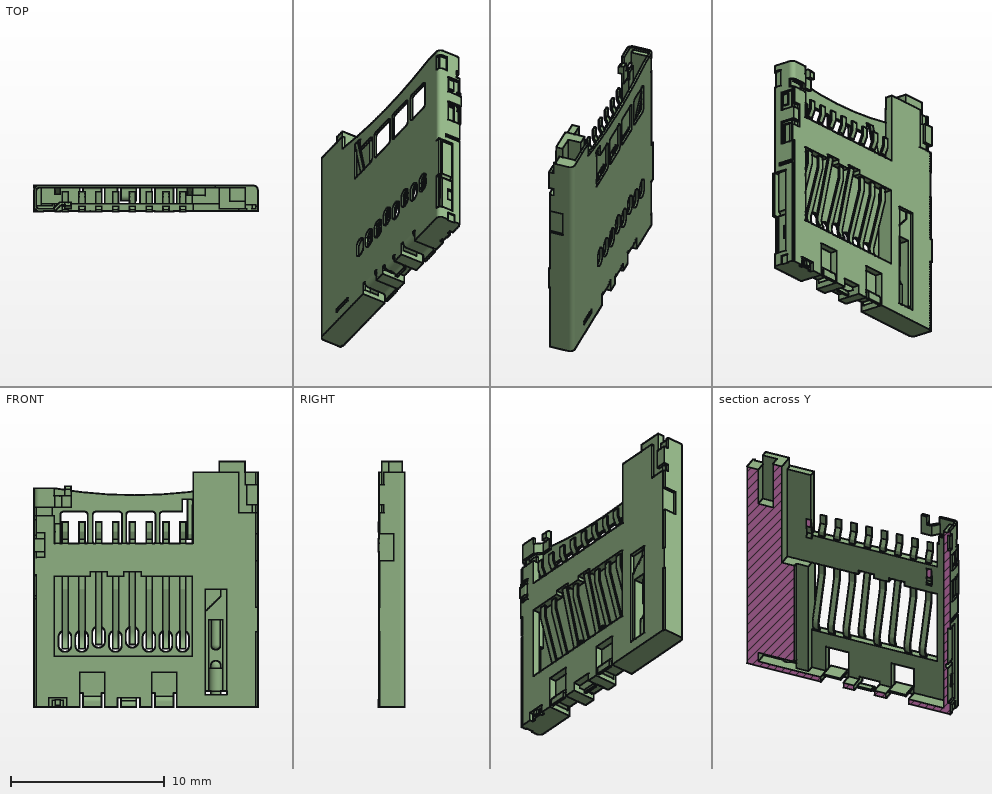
import cadquery as cq
import math

WIDTH = 14.6
DEPTH = 1.68
SOLDER_STANDOFF = 0.05
SHEET = 0.16
LEFT_TOP = 14.25
RIGHT_TOP = 15.3
SLIDER_TOP = 16.0

SHELL_BEND = 0.32
SHELL_INNER_Y = DEPTH - SHEET
SHELL_INNER_RIGHT = WIDTH - SHEET
WALL_SETBACK = 0.06
LIP_BOTTOM = 13.0
RIGHT_LIP_LEFT = 13.85
RIGHT_LIP_BOTTOM = 13.17
RIGHT_LIP_TOP = 14.48
MOUTH_MIDDLE_X = 6.56
MOUTH_LOW_Z = 13.8

PLATE = 0.5
SIDE_WALL = 0.32
FLOOR = 0.4
WINDOW_LEFT = 1.31
WINDOW_RIGHT = 10.3
CROSSBAR_BOTTOM = 8.53
CROSSBAR_TOP = 10.65
WINDOW_BOTTOM = 3.31
DIVIDER_DEPTH = 1.02
TOWER_LEFT = 10.37
TOWER_RIGHT = 13.33
TOWER_SHOULDER = 12.64
LEFT_PLATE_TOP = 12.45

CONTACT_COUNT = 8
FIRST_CONTACT_X = 2.03
LAST_CONTACT_X = 9.7
CONTACT_PITCH = (LAST_CONTACT_X - FIRST_CONTACT_X) / (CONTACT_COUNT - 1)
CONTACT_WIDTH = 0.4
CONTACT_SHEET = 0.13
DETECT_SPRING_WIDTH = 0.35
RAISED_CONTACTS = (2, 4)
RAISE = 0.27
CONTACT_SLOT_WIDTH = 0.82
CONTACT_SLOT_LENGTH = 1.38

LATCH_CENTRES = (3.8, 8.48)
LATCH_WINDOW_WIDTH = 1.62
LATCH_WINDOW_HEIGHT = 2.25
LATCH_NOTCH_HEIGHT = 0.9
LATCH_WIDTH = 1.22
LATCH_TOP = 0.69

CLIP_LEFT = 5.44
CLIP_RIGHT = 6.9
CLIP_HEIGHT = 0.6
CLIP_CLEARANCE = 0.22
CLIP_FRONT = 0.67
CLIP_TOP = 0.42
HOOK_LEFT = 0.96
HOOK_RIGHT = 2.15

PAD_BOTTOM = 10.13
PAD_TOP = 10.96
PAD_RIGHT = 0.7
PAD_CLEARANCE = 0.38

SLIDER_LEFT = 11.17
SLIDER_RIGHT = 13.76
SLIDER_HEAD_LEFT = 12.06
SLIDER_FRONT = 0.18
SLIDER_BOTTOM = 1.04
SLIDER_WINDOW_RIGHT = 12.56
SLIDER_WINDOW_BOTTOM = 0.8
SLIDER_WINDOW_TOP = 7.68
CHANNEL_TOP = 5.68
CHANNEL_WIDTH = 0.93
PIN_X = 11.84
PIN_Y = 0.86
PIN_DIAMETER = 0.6
STUB_CAP_DIAMETER = 0.65
STUB_DIAMETER = 0.9


def block(x0, x1, y0, y1, z0, z1):
    """Box between two opposite corners."""
    return cq.Workplane("XY").box(x1 - x0, y1 - y0, z1 - z0, centered=False).translate((x0, y0, z0))


def strip(centre_line, x_middle, width, thickness):
    """Bent sheet strip: a centre line in the YZ plane, thickened and extruded across X."""
    profile = centre_line.offset2D(thickness / 2)
    return profile.extrude(width / 2, both=True).translate((x_middle, 0, 0))


def pin(diameter, z0, z1, dome_up):
    """Upright pin with a domed end."""
    radius = diameter / 2
    shaft = cq.Workplane("XY").circle(radius).extrude(z1 - z0).translate((PIN_X, PIN_Y, z0))
    dome = cq.Workplane("XY").sphere(radius).translate((PIN_X, PIN_Y, z1 if dome_up else z0))
    return shaft.union(dome)


def contact_places():
    """X position and Z shift of every contact."""
    for index in range(CONTACT_COUNT):
        raise_z = RAISE if index in RAISED_CONTACTS else 0
        yield FIRST_CONTACT_X + index * CONTACT_PITCH, raise_z


def shell_back_outline():
    """Solid slab under the shell's outline, with the arched card mouth."""
    left_x, right_x = WINDOW_LEFT, 2 * MOUTH_MIDDLE_X - WINDOW_LEFT
    return (
        cq.Workplane("XZ")
        .polyline([(0, LEFT_TOP), (0, 0), (WIDTH, 0), (WIDTH, RIGHT_TOP), (right_x, RIGHT_TOP), (right_x, LEFT_TOP)])
        .threePointArc((MOUTH_MIDDLE_X, MOUTH_LOW_Z), (left_x, LEFT_TOP))
        .close()
        .extrude(-DEPTH)
    )


def card_windows():
    """Four windows below the card mouth; the last has a raised right end."""
    bottom, top, corner = 10.6, 12.72, 0.2
    cuts = None
    for left, right in ((1.73, 3.49), (3.84, 5.73), (6.02, 7.9), (8.2, 10.3)):
        window = block(left, right, SHELL_INNER_Y, DEPTH, bottom, top).edges("|Y").fillet(corner)
        cuts = window if cuts is None else cuts.union(window)
    return cuts.union(block(9.66, 10.3, SHELL_INNER_Y, DEPTH, bottom, 13.52))


def contact_slots():
    """Rounded slots behind the contact tips."""
    slots = cq.Workplane("XY")
    middle_z = 3.6 + CONTACT_SLOT_LENGTH / 2
    for x, raise_z in contact_places():
        slot = cq.Workplane("XZ").slot2D(CONTACT_SLOT_LENGTH, CONTACT_SLOT_WIDTH, 90).extrude(-SHEET)
        slots = slots.union(slot.translate((x - 0.02, SHELL_INNER_Y, middle_z + raise_z)))
    return slots


def make_shell():
    body = shell_back_outline()
    body = body.edges("|Z and >Y and (<X or >X)").fillet(SHELL_BEND)
    hollow = block(SHEET, SHELL_INNER_RIGHT, 0, SHELL_INNER_Y, 0, RIGHT_TOP)
    hollow = hollow.edges("|Z and >Y").fillet(SHELL_BEND - SHEET)
    body = body.cut(hollow).cut(card_windows()).cut(contact_slots())
    body = body.cut(block(0, SHELL_BEND, 0.6, DEPTH, 0.88, 6.64))
    body = body.union(block(0, SHELL_BEND, SHELL_INNER_Y, DEPTH, 3.6, 6.64))
    body = body.cut(block(0, SHEET, 0, 1.14, 7.04, 7.23))
    body = body.cut(block(0, SHEET, 0.1, 0.96, 8.56, 12.2))
    body = body.cut(block(0, SHEET, 0, SHELL_BEND, LEFT_PLATE_TOP, LEFT_TOP))
    body = body.cut(block(0, SHELL_BEND, 1.02, DEPTH, 12.72, 13.85))
    body = body.cut(block(0, SHEET, 0, WALL_SETBACK, 0, 8.6))
    body = body.cut(block(0, SHEET, 0, WALL_SETBACK, 11.2, LEFT_PLATE_TOP))
    body = body.cut(block(SHELL_INNER_RIGHT, WIDTH, 0, WALL_SETBACK, 0, 4.9))
    body = body.cut(block(SHELL_INNER_RIGHT, WIDTH, 0, WALL_SETBACK, 6.5, TOWER_SHOULDER))
    body = body.cut(block(SHELL_INNER_RIGHT, WIDTH, 0, 0.96, 9.52, 11.28))
    body = body.cut(block(SHELL_INNER_RIGHT, WIDTH, 0, 0.32, TOWER_SHOULDER, RIGHT_LIP_BOTTOM))
    body = body.cut(block(SHELL_INNER_RIGHT, WIDTH, 0, 0.32, RIGHT_LIP_TOP, RIGHT_TOP))
    body = body.cut(block(0, SHEET / 2, 0.46, 0.96, 0, CLIP_HEIGHT))
    for x in LATCH_CENTRES:
        half = LATCH_WINDOW_WIDTH / 2
        body = body.cut(block(x - half, x + half, SHELL_INNER_Y, DEPTH, 0, LATCH_NOTCH_HEIGHT))
    body = body.cut(
        block(SLIDER_LEFT, SLIDER_WINDOW_RIGHT, SHELL_INNER_Y, DEPTH, SLIDER_WINDOW_BOTTOM, SLIDER_BOTTOM)
    )
    body = body.cut(block(CLIP_LEFT, CLIP_RIGHT, SHELL_INNER_Y, DEPTH, 0, CLIP_HEIGHT))
    return body


result = make_shell()


def make_housing():
    plate = (
        cq.Workplane("XZ")
        .polyline(
            [
                (SHEET, 0),
                (SHELL_INNER_RIGHT, 0),
                (SHELL_INNER_RIGHT, TOWER_SHOULDER),
                (TOWER_RIGHT, TOWER_SHOULDER),
                (TOWER_RIGHT, RIGHT_TOP),
                (TOWER_LEFT, RIGHT_TOP),
                (TOWER_LEFT, CROSSBAR_TOP),
                (WINDOW_LEFT, CROSSBAR_TOP),
                (WINDOW_LEFT, LEFT_PLATE_TOP),
                (SHEET, LEFT_PLATE_TOP),
            ]
        )
        .close()
        .extrude(-PLATE)
    )
    floor = block(SHEET, SHELL_INNER_RIGHT, 0, SHELL_INNER_Y, 0, FLOOR)
    left_wall = block(SHEET, SHEET + SIDE_WALL, 0.35, SHELL_INNER_Y, 0, LEFT_TOP - SHEET)
    left_step = block(SHEET, 1.18, 0.35, PLATE, CROSSBAR_TOP, LIP_BOTTOM)
    right_wall = block(SLIDER_RIGHT, SHELL_INNER_RIGHT, 0.42, SHELL_INNER_Y, 0, RIGHT_TOP)
    divider = block(WINDOW_RIGHT, SLIDER_LEFT, 0, DIVIDER_DEPTH, 0, CROSSBAR_BOTTOM)
    body = plate.union(floor).union(left_wall).union(left_step).union(right_wall).union(divider)
    body = body.cut(block(WINDOW_LEFT, WINDOW_RIGHT, 0, PLATE, WINDOW_BOTTOM, CROSSBAR_BOTTOM))
    for index in RAISED_CONTACTS:
        x = FIRST_CONTACT_X + index * CONTACT_PITCH
        body = body.cut(block(x - 0.56, x + 0.56, 0, PLATE, CROSSBAR_BOTTOM, CROSSBAR_BOTTOM + 0.29))
    for x in LATCH_CENTRES:
        half = LATCH_WINDOW_WIDTH / 2
        body = body.cut(block(x - half, x + half, 0, SHELL_INNER_Y, 0, LATCH_WINDOW_HEIGHT))
    body = body.cut(
        block(SLIDER_LEFT, SLIDER_WINDOW_RIGHT, 0, SHELL_INNER_Y, SLIDER_WINDOW_BOTTOM, SLIDER_WINDOW_TOP)
    )
    body = body.cut(block(CLIP_LEFT, CLIP_RIGHT, 0, SHELL_INNER_Y, 0, CLIP_HEIGHT))
    body = body.cut(block(HOOK_LEFT, HOOK_RIGHT, 0, 0.24, 0, CLIP_HEIGHT))
    body = body.cut(block(SHEET, PAD_RIGHT, 0, SHEET, PAD_BOTTOM - PAD_CLEARANCE, PAD_TOP + PAD_CLEARANCE))
    body = body.union(block(WALL_SETBACK, SHEET, 0.48, 0.86, 11.28, 12.06))
    body = body.cut(block(SHEET, SHEET + 0.13, 0.38, 0.86, 8.58, 9.97))
    body = body.cut(block(SHEET, SHEET + SIDE_WALL, 1.31, SHELL_INNER_Y, 0.88, 6.64))
    groove = cq.Workplane("XY").circle(0.16).extrude(1.31 - 0.6).rotate((0, 0, 0), (1, 0, 0), -90)
    body = body.cut(groove.translate((SHEET, 0.6, 3.71)))
    body = body.cut(block(SHEET, SHEET + 0.13, PLATE, 0.88, 1.89, 2.75))
    return body


result = result.union(make_housing())


def make_slider():
    body = block(SLIDER_LEFT, SLIDER_RIGHT, SLIDER_FRONT, SHELL_INNER_Y, SLIDER_BOTTOM, CROSSBAR_BOTTOM)
    neck = block(SLIDER_HEAD_LEFT, SLIDER_RIGHT, SLIDER_FRONT, SHELL_INNER_Y, CROSSBAR_BOTTOM, TOWER_SHOULDER)
    body = body.union(neck)
    head = block(SLIDER_HEAD_LEFT, 12.74, SLIDER_FRONT, SHELL_INNER_Y, TOWER_SHOULDER, SLIDER_TOP)
    head = head.union(block(SLIDER_HEAD_LEFT, SLIDER_RIGHT, SLIDER_FRONT, 0.64, TOWER_SHOULDER, SLIDER_TOP))
    foot = block(SLIDER_RIGHT, 14.2, SLIDER_FRONT, PLATE, TOWER_SHOULDER, RIGHT_LIP_TOP)
    half = CHANNEL_WIDTH / 2
    channel_back = PIN_Y + PIN_DIAMETER / 2
    channel = block(PIN_X - half, PIN_X + half, SLIDER_FRONT, channel_back, SLIDER_BOTTOM, CHANNEL_TOP)
    cam = (
        cq.Workplane("XZ")
        .polyline([(SLIDER_LEFT, 6.24), (12.16, 7.2), (12.16, SLIDER_WINDOW_TOP), (SLIDER_LEFT, SLIDER_WINDOW_TOP)])
        .close()
        .extrude(-0.08)
        .translate((0, SLIDER_FRONT, 0))
    )
    return body.union(head).union(foot).cut(channel).cut(cam)


result = result.union(make_slider())
result = result.union(pin(PIN_DIAMETER, 4.03, CHANNEL_TOP, False))
result = result.union(pin(STUB_CAP_DIAMETER, SLIDER_WINDOW_BOTTOM, 2.69, True))
stub = cq.Workplane("XY").circle(STUB_DIAMETER / 2).extrude(2.53 - SLIDER_BOTTOM)
result = result.union(stub.translate((PIN_X, PIN_Y, SLIDER_BOTTOM)))


def make_contact(x, raise_z):
    """Solder tail above the crossbar, beam through it, bowed tip below."""
    half = CONTACT_SHEET / 2
    tail_y = half - SOLDER_STANDOFF
    bend_y = PLATE / 2
    centre_line = (
        cq.Workplane("YZ")
        .moveTo(tail_y, 12.06 - half)
        .lineTo(tail_y, 11.44)
        .lineTo(bend_y, 10.95)
        .lineTo(bend_y, 7.68 + 4 * raise_z)
        .lineTo(1.15, 4.72 + raise_z)
        .threePointArc((1.2, 4.32 + raise_z), (1.0, 3.85 + raise_z))
    )
    return strip(centre_line, x, CONTACT_WIDTH, CONTACT_SHEET)


for contact_x, contact_raise in contact_places():
    result = result.union(make_contact(contact_x, contact_raise))


def foot_tab(x, width, front, top):
    """Tab that leaves the shell, runs forward under its bend and turns down to the foot."""
    half = SHEET / 2
    rear_radius, front_radius = 0.22, 0.25
    rear_y, front_y, level = DEPTH - half, front + half, top - half
    rear_mid, front_mid = rear_radius * (1 - math.sqrt(0.5)), front_radius * (1 - math.sqrt(0.5))
    centre_line = (
        cq.Workplane("YZ")
        .moveTo(rear_y, level + rear_radius + half)
        .lineTo(rear_y, level + rear_radius)
        .threePointArc((rear_y - rear_mid, level + rear_mid), (rear_y - rear_radius, level))
        .lineTo(front_y + front_radius, level)
        .threePointArc((front_y + front_mid, level - front_mid), (front_y, level - front_radius))
        .lineTo(front_y, -SHEET)
    )
    below_foot = block(x - width, x + width, -DEPTH, DEPTH, -2 * SHEET, 0)
    return strip(centre_line, x, width, SHEET).cut(below_foot)


for latch_x in LATCH_CENTRES:
    result = result.union(foot_tab(latch_x, LATCH_WIDTH, -SOLDER_STANDOFF, LATCH_TOP))

clip_x = (CLIP_LEFT + CLIP_RIGHT) / 2
clip_width = CLIP_RIGHT - CLIP_LEFT - 2 * CLIP_CLEARANCE
result = result.union(foot_tab(clip_x, clip_width, CLIP_FRONT, CLIP_TOP))

result = result.union(block(1.2, 1.9, 0.1, 0.24, 0, 0.45))
result = result.union(block(1.38, 1.71, -SOLDER_STANDOFF, 0.24, 0.13, 0.48))


def make_left_lip():
    """Top left corner: the shell wraps onto the front and steps back beside the card mouth."""
    lip = block(0, WINDOW_LEFT, 0, PLATE, LIP_BOTTOM, LEFT_TOP).edges("|Z and <X and <Y").fillet(SHELL_BEND)
    lip_hollow = block(SHEET, WINDOW_LEFT, SHEET, PLATE, LIP_BOTTOM, LEFT_TOP)
    lip = lip.cut(lip_hollow.edges("|Z and <X and <Y").fillet(SHELL_BEND - SHEET))
    step_top, ear_top = 13.76, 14.38
    step_y = PLATE - 0.08
    joggle = (
        cq.Workplane("XY", origin=(0, 0, LIP_BOTTOM))
        .polyline(
            [
                (1.15, 0),
                (1.35, 0),
                (1.8, step_y),
                (2.42, step_y),
                (2.42, step_y + SHEET),
                (1.66, step_y + SHEET),
                (1.25, SHEET),
                (1.15, SHEET),
            ]
        )
        .close()
        .extrude(step_top - LIP_BOTTOM)
    )
    ear = block(2.02, 2.42, 0.16, step_y + SHEET, step_top, ear_top).faces("<Y").edges(">Z").chamfer(0.2)
    return lip.union(joggle).union(ear)


def make_solder_pad():
    """J-shaped tab from the left wall onto the solder plane."""
    face = block(0, PAD_RIGHT, -SOLDER_STANDOFF, 0.2, PAD_BOTTOM, PAD_TOP)
    face = face.edges("|Z and >X and <Y").fillet(0.22)
    leg = block(0, SHEET + 0.03, 0, 0.96, PAD_BOTTOM, PAD_TOP)
    return face.union(leg)


result = result.union(make_left_lip())
result = result.union(make_solder_pad())
result = result.union(
    block(RIGHT_LIP_LEFT, WIDTH, 0, SLIDER_FRONT, RIGHT_LIP_BOTTOM, RIGHT_LIP_TOP)
)

right_spring = cq.Workplane("YZ").polyline([(1.6, 13.52), (1.12, 11.26), (1.22, 10.98)])
left_spring = cq.Workplane("YZ").polyline([(1.54, 11.87), (1.18, 9.92), (1.26, 9.66)])
result = result.union(strip(right_spring, 10.16, DETECT_SPRING_WIDTH, CONTACT_SHEET))
result = result.union(strip(left_spring, 1.54, DETECT_SPRING_WIDTH, CONTACT_SHEET))